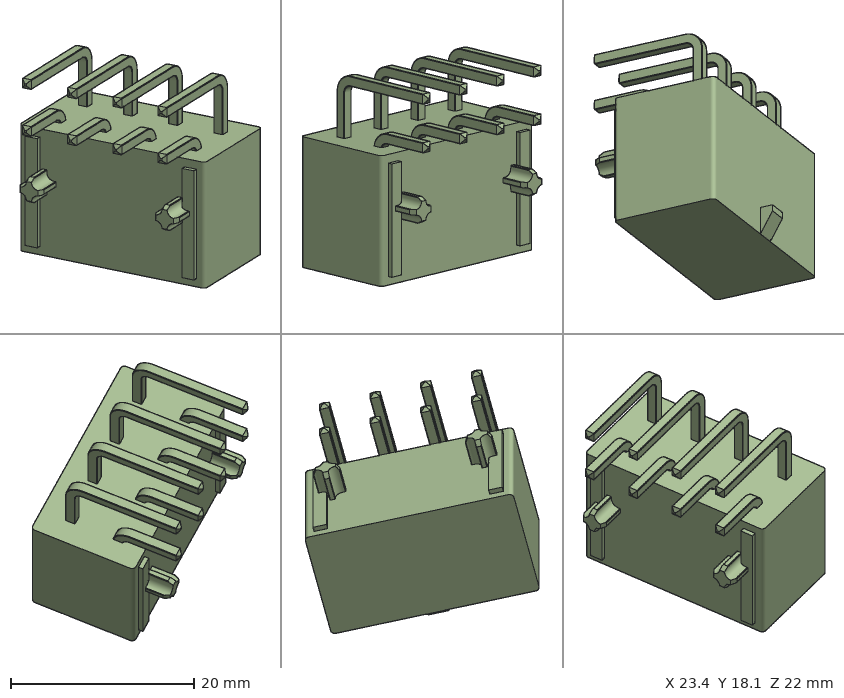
import cadquery as cq
import math

overall_depth = 18.13

body_width = 23.45
body_depth = 12.48
body_height = 14.75
corner_radius = 0.5

latch_width = 2.28
latch_reach = 1.5
latch_height = 3.2
latch_lip = 0.73

rib_inset = 1.08
rib_width = 1.52
rib_depth = 0.55
rib_end_gap = 0.99
rib_height = body_height - 2 * rib_end_gap

pin_pitch = 5.7
pin_columns = 4
pin_size = 1.15
pin_edge_chamfer = 0.07
bend_inner_radius = 0.95
bend_radius = bend_inner_radius + pin_size / 2
pin_reach = overall_depth - body_depth - latch_reach
tip_length = 0.35
tip_flat = 0.23
pin_embed = 0.95
back_row_y = 8.95
back_row_top = 21.95
front_row_y = back_row_y - pin_pitch
front_row_top = 16.47
pin_columns_x = [(i - (pin_columns - 1) / 2) * pin_pitch for i in range(pin_columns)]

peg_span = 2.98
peg_arm_width = 0.63
peg_arm_chamfer = 0.07
peg_flute_radius = 0.87
peg_length = 3.38
peg_taper_length = 0.68
peg_taper_depth = 0.38
peg_z = 8.63
peg_columns_x = [pin_columns_x[0], pin_columns_x[-1]]


def make_housing():
    housing = cq.Workplane("XY").box(body_width, body_depth, body_height, centered=(True, False, False))
    return housing.edges("|Z").fillet(corner_radius)


def make_latch():
    """Wedge with a short vertical lip, tapering to nothing at the bottom edge."""
    tip_y = body_depth + latch_reach
    root_y = body_depth - corner_radius
    return (
        cq.Workplane("YZ")
        .moveTo(root_y, 0)
        .lineTo(body_depth, 0)
        .lineTo(tip_y, latch_height - latch_lip)
        .lineTo(tip_y, latch_height)
        .lineTo(root_y, latch_height)
        .close()
        .extrude(latch_width / 2, both=True)
    )


def make_rib(side):
    """Upright rib near the left (side = -1) or right (side = 1) end of the front face."""
    rib_x = side * (body_width / 2 - rib_inset - rib_width / 2)
    rib = cq.Workplane("XY").box(rib_width, rib_depth, rib_height, centered=(True, False, False))
    return rib.translate((rib_x, -rib_depth, rib_end_gap))


def make_pin(x, leg_y, top_z):
    """Pin rising from the housing at leg_y, bent forward and ending in a blunt point."""
    axis_z = top_z - pin_size / 2
    bend_z = axis_z - bend_radius
    bend_y = leg_y - bend_radius
    middle = bend_radius * math.sqrt(0.5)
    shank_end_y = tip_length - pin_reach
    start_z = min(body_height, bend_z) - pin_embed
    path = (
        cq.Workplane("YZ", origin=(x, 0, 0))
        .moveTo(leg_y, start_z)
        .lineTo(leg_y, bend_z)
        .threePointArc((bend_y + middle, bend_z + middle), (bend_y, axis_z))
        .lineTo(shank_end_y, axis_z)
    )
    section = cq.Sketch().rect(pin_size, pin_size).vertices().chamfer(pin_edge_chamfer)
    shank = cq.Workplane("XY", origin=(x, leg_y, start_z)).placeSketch(section).sweep(path)
    tip_plane = cq.Workplane("XZ", origin=(x, shank_end_y, axis_z))
    pyramid = (
        tip_plane
        .rect(pin_size, pin_size)
        .workplane(offset=tip_length)
        .rect(tip_flat, tip_flat)
        .loft(ruled=True)
    )
    tip = tip_plane.placeSketch(section).extrude(tip_length).intersect(pyramid)
    return shank.union(tip)


def make_peg(x):
    """Four-armed peg: a square with quarter-round flutes, arm ends tapered at the tip."""
    flute_centre = peg_arm_width / 2 + peg_flute_radius
    core = cq.Workplane("XZ").rect(2 * flute_centre, 2 * flute_centre).extrude(peg_length)
    flutes = (
        cq.Workplane("XZ")
        .rect(2 * flute_centre, 2 * flute_centre, forConstruction=True)
        .vertices()
        .circle(peg_flute_radius)
        .extrude(peg_length)
    )
    peg = core.cut(flutes)
    for width, height in ((peg_span, peg_arm_width), (peg_arm_width, peg_span)):
        arms = cq.Workplane("XZ").rect(width, height).extrude(peg_length)
        peg = peg.union(arms.edges("|Y").chamfer(peg_arm_chamfer))
    envelope = (
        cq.Workplane("XZ")
        .rect(peg_span, peg_span)
        .extrude(peg_length)
        .faces("<Y")
        .chamfer(peg_taper_length, peg_taper_depth)
    )
    return peg.intersect(envelope).translate((x, 0, peg_z))


result = make_housing().union(make_latch())
for side in (-1, 1):
    result = result.union(make_rib(side))
for x in pin_columns_x:
    result = result.union(make_pin(x, back_row_y, back_row_top))
    result = result.union(make_pin(x, front_row_y, front_row_top))
for x in peg_columns_x:
    result = result.union(make_peg(x))